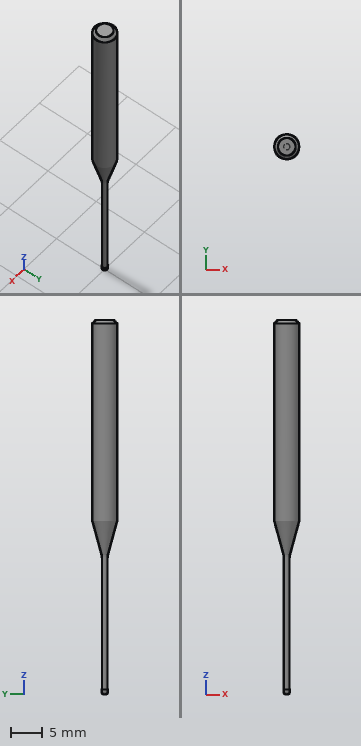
import cadquery as cq

total_length = 60.0
cutter_length = 0.85
neck_top = 21.95
cone_bottom = 22.3
cone_top = 27.8

shank_diameter = 4.0
cutter_diameter = 1.0
neck_diameter = 0.95
shank_chamfer = 0.6

shank_radius = shank_diameter / 2
cutter_radius = cutter_diameter / 2
neck_radius = neck_diameter / 2


def revolve_about_z(profile):
    """Revolve a closed radius-height outline a full turn about the Z axis."""
    return profile.close().revolve(360, (0, 0, 0), (0, 1, 0))


def make_holder():
    """Chamfered shank, tapering through a cone and a short collar into the slim neck."""
    profile = (
        cq.Workplane("XZ")
        .moveTo(0, cutter_length)
        .lineTo(neck_radius, cutter_length)
        .lineTo(neck_radius, neck_top)
        .lineTo(cutter_radius, cone_bottom)
        .lineTo(shank_radius, cone_top)
        .lineTo(shank_radius, total_length - shank_chamfer)
        .lineTo(shank_radius - shank_chamfer, total_length)
        .lineTo(0, total_length)
    )
    return revolve_about_z(profile)


def make_cutter():
    """Short cylindrical cutter with a hemispherical nose, butted against the neck."""
    profile = (
        cq.Workplane("XZ")
        .moveTo(0, 0)
        .radiusArc((cutter_radius, cutter_radius), -cutter_radius)
        .lineTo(cutter_radius, cutter_length)
        .lineTo(0, cutter_length)
    )
    return revolve_about_z(profile)


holder = make_holder()
cutter = make_cutter()

result = cq.Compound.makeCompound([holder.val(), cutter.val()])